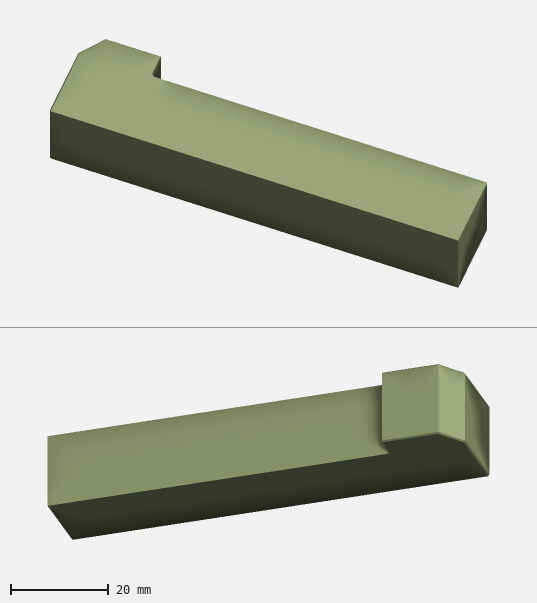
import cadquery as cq

length = 90.0
thickness = 16.0
shank_width = thickness
total_width = 21.5
head_length = thickness
bevel_length = 3.9
bevel_width = 5.4
corner_radius = 1.0
edge_chamfer = 0.3

outline = [
    (0, 0),
    (length, 0),
    (length, shank_width),
    (head_length, shank_width),
    (head_length, total_width),
    (bevel_length, total_width),
    (0, total_width - bevel_width),
]
body = cq.Workplane("XY").polyline(outline).close().extrude(thickness)

inside_corner = cq.selectors.NearestToPointSelector((head_length, shank_width, thickness / 2))
body = body.edges(inside_corner).fillet(corner_radius)

end_edges = body.faces("<X").edges("|Y or <Y")
bevel_edges = body.faces(cq.selectors.NearestToPointSelector(
    (bevel_length / 2, total_width - bevel_width / 2, thickness / 2)
)).edges("not |Z")
hook_edges = body.faces(">Y").edges("|X")
chamfered_edges = end_edges.add(bevel_edges).add(hook_edges)
result = chamfered_edges.chamfer(edge_chamfer)